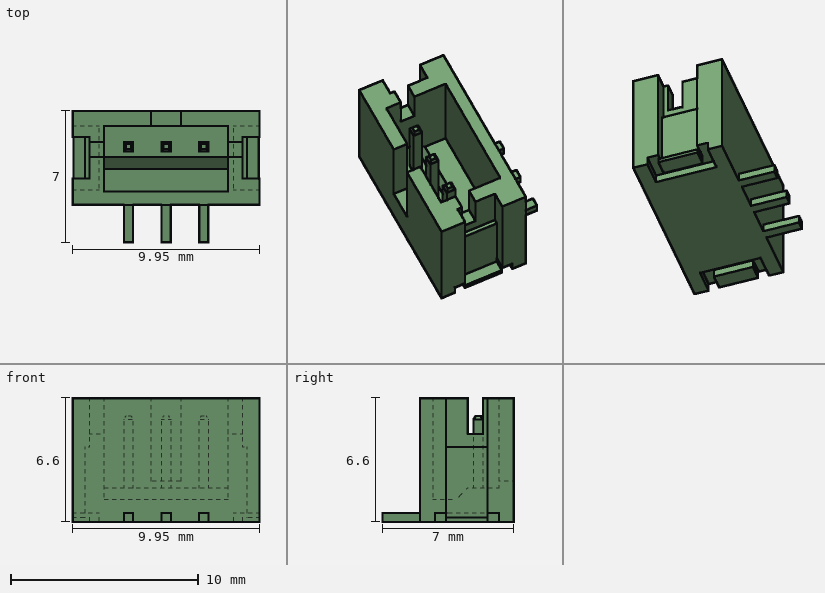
import cadquery as cq
import math

body_width = 9.95
body_depth = 5.0
body_height = 6.6

cavity_width = 6.6
cavity_front_y = -1.8
cavity_back_y = 1.7
floor_front_z = 1.2
floor_ramp_front_y = -0.58
floor_ramp_back_y = 0.05
floor_ramp_angle = 45.0

back_slot_width = 1.6
back_slot_bottom_z = 2.2
side_slot_front_y = floor_ramp_back_y
side_slot_back_y = 0.85
side_slot_bottom_z = 4.7

recess_depth = 0.9
recess_width = 2.2
tab_thickness = 0.24
tab_height = 4.0
foot_reach = 0.86

relief_width = 3.4
relief_height = 0.5
relief_depth = 1.4

contact_count = 3
contact_pitch = 2.0
contact_size = 0.5
contact_back_y = side_slot_back_y
contact_top_z = 5.65
tip_height = 0.19
tip_taper = 30.0
lead_length = 2.0

body_half = body_width / 2
front_y = -body_depth / 2
back_y = body_depth / 2
recess_x = body_half - recess_depth
ramp_run = floor_ramp_back_y - floor_ramp_front_y
floor_back_z = floor_front_z + ramp_run * math.tan(math.radians(floor_ramp_angle))


def box(x_range, y_range, z_range):
    """Axis-aligned block spanning the given (low, high) ranges."""
    size = [high - low for low, high in (x_range, y_range, z_range)]
    corner = (x_range[0], y_range[0], z_range[0])
    return cq.Workplane("XY").box(*size, centered=False).translate(corner)


def centred(width):
    """Range of the given width centred on zero."""
    return (-width / 2, width / 2)


def both_sides(shape):
    """The shape together with its mirror image across the YZ plane."""
    return shape.union(shape.mirror("YZ"))


def plug_cavity():
    """Cavity with a low front floor that ramps up to a higher back floor."""
    return (
        cq.Workplane("YZ")
        .moveTo(cavity_front_y, body_height)
        .lineTo(cavity_front_y, floor_front_z)
        .lineTo(floor_ramp_front_y, floor_front_z)
        .lineTo(floor_ramp_back_y, floor_back_z)
        .lineTo(cavity_back_y, floor_back_z)
        .lineTo(cavity_back_y, body_height)
        .close()
        .extrude(cavity_width / 2, both=True)
    )


def housing():
    """Box with the cavity, wall slots, side recesses and foot reliefs removed."""
    block = box(centred(body_width), centred(body_depth), (0, body_height))
    back_slot = box(
        centred(back_slot_width),
        (cavity_back_y, back_y),
        (back_slot_bottom_z, body_height),
    )
    side_slots = box(
        centred(body_width),
        (side_slot_front_y, side_slot_back_y),
        (side_slot_bottom_z, body_height),
    )
    recess = box((recess_x, body_half), centred(recess_width), (0, body_height))
    relief = box((body_half - relief_depth, body_half), centred(relief_width), (0, relief_height))
    openings = plug_cavity().union(back_slot).union(side_slots)
    return block.cut(openings).cut(both_sides(recess.union(relief)))


def solder_tab():
    """L-shaped tab: an upright plate against the recess and a foot on the board."""
    upright = box((recess_x, recess_x + tab_thickness), centred(recess_width), (0, tab_height))
    foot = box((recess_x, recess_x + foot_reach), centred(recess_width), (0, tab_thickness))
    return upright.union(foot)


def contact(x):
    """Upright pin with a bevelled tip, joined to a lead leaving through the front."""
    x_range = (x - contact_size / 2, x + contact_size / 2)
    y_range = (contact_back_y - contact_size, contact_back_y)
    pin = box(x_range, y_range, (0, contact_top_z - tip_height))
    pin = pin.faces(">Z").wires().toPending().workplane().extrude(tip_height, taper=tip_taper)
    lead = box(x_range, (front_y - lead_length, contact_back_y), (0, contact_size))
    return pin.union(lead)


result = housing().union(both_sides(solder_tab()))
first_contact_x = -(contact_count - 1) * contact_pitch / 2
for index in range(contact_count):
    result = result.union(contact(first_contact_x + index * contact_pitch))